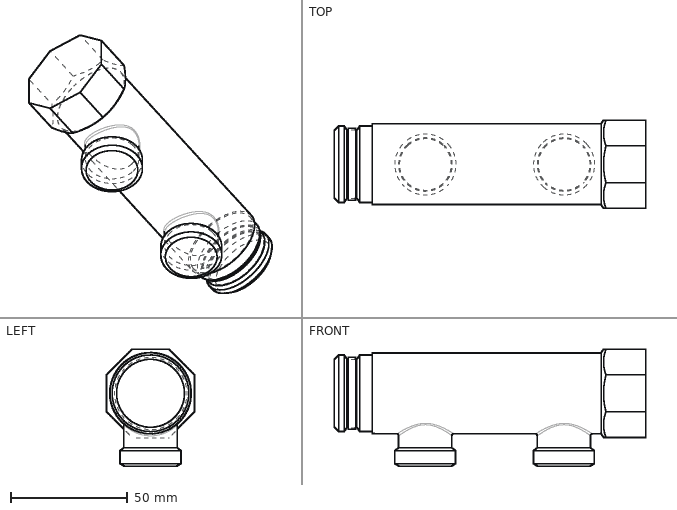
import cadquery as cq
import math

length = 134.0
barrel_radius = 17.4
barrel_start = 16.3

nipple_radius = 16.5
tip_radius = 14.6
tip_chamfer_length = 1.9

groove_floor_radius = 14.7
groove_mouth_start = 4.3
groove_floor_start = 5.5
groove_floor_end = 9.8
groove_mouth_end = 11.0
ring_radius = 15.5
ring_start = 6.0
ring_end = 9.2

head_across_flats = 38.0
head_start = 114.8
head_face_radius = 17.5
head_chamfer_length = 2.0
head_sides = 8

first_port_x = 39.1
port_pitch = 59.6
port_count = 2
port_bottom = -31.5
port_flange_top = -23.5
port_flange_radius = 13.1
port_neck_radius = 11.5
port_chamfer_height = 1.2
port_bottom_chamfer = 2.0
port_root_fillet = 0.8


def revolve_about_x(points):
    """Revolve a closed outline of (x, radius) points about the X axis."""
    return cq.Workplane("XY").polyline(points).close().revolve(360, (0, 0, 0), (1, 0, 0))


def make_barrel():
    """Solid barrel with the grooved nipple at its -X end."""
    return revolve_about_x([
        (0, 0),
        (0, tip_radius),
        (tip_chamfer_length, nipple_radius),
        (groove_mouth_start, nipple_radius),
        (groove_floor_start, groove_floor_radius),
        (groove_floor_end, groove_floor_radius),
        (groove_mouth_end, nipple_radius),
        (barrel_start, nipple_radius),
        (barrel_start, barrel_radius),
        (length, barrel_radius),
        (length, 0),
    ])


def make_head():
    """Octagonal head with flats facing Y and Z, its corners cut by a cone."""
    corner_radius = head_across_flats / 2 / math.cos(math.pi / head_sides)
    octagon = (
        cq.Workplane("YZ", origin=(head_start, 0, 0))
        .polygon(head_sides, 2 * corner_radius)
        .extrude(length - head_start)
        .rotate((0, 0, 0), (1, 0, 0), 180 / head_sides)
    )
    envelope = revolve_about_x([
        (head_start, 0),
        (head_start, head_face_radius),
        (head_start + head_chamfer_length, corner_radius),
        (length, corner_radius),
        (length, 0),
    ])
    return octagon.intersect(envelope)


def make_port_neck(x):
    """Round neck from the barrel axis down to the port flange."""
    return (
        cq.Workplane("XY", origin=(x, 0, port_flange_top))
        .circle(port_neck_radius)
        .extrude(-port_flange_top)
    )


def make_port_flange(x):
    """Round flange at the foot of a port, sloping up to the neck and chamfered below."""
    outline = [
        (0, port_bottom),
        (port_flange_radius - port_bottom_chamfer, port_bottom),
        (port_flange_radius, port_bottom + port_chamfer_height),
        (port_flange_radius, port_flange_top - port_chamfer_height),
        (port_neck_radius, port_flange_top),
        (0, port_flange_top),
    ]
    flange = cq.Workplane("XZ").polyline(outline).close().revolve(360, (0, 0, 0), (0, 1, 0))
    return flange.translate((x, 0, 0))


def make_housing():
    """Barrel, ports and head as one body."""
    port_places = [first_port_x + i * port_pitch for i in range(port_count)]
    housing = make_barrel()
    for x in port_places:
        housing = housing.union(make_port_neck(x))
    root_zone = cq.selectors.BoxSelector(
        (barrel_start + 1.3, -barrel_radius, -barrel_radius - 1.3),
        (head_start, barrel_radius, 0),
        boundingbox=True,
    )
    housing = housing.edges(root_zone).fillet(port_root_fillet)
    for x in port_places:
        housing = housing.union(make_port_flange(x))
    return housing.union(make_head()).solids()


def make_seal_ring():
    """Flat seal ring on the floor of the groove."""
    return (
        cq.Workplane("YZ", origin=(ring_start, 0, 0))
        .circle(ring_radius)
        .circle(groove_floor_radius)
        .extrude(ring_end - ring_start)
    )


housing = make_housing()
seal_ring = make_seal_ring()
result = cq.Compound.makeCompound([housing.val(), seal_ring.val()])